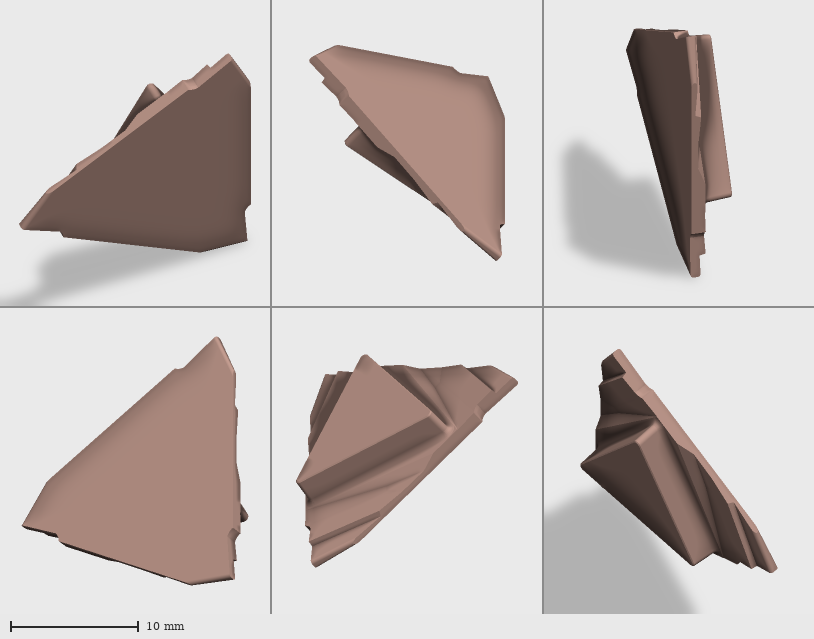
import cadquery as cq
import math

wing_count = 3
wing_angle = 360 / wing_count
side_tilt = math.radians(wing_angle / 2)

side_distance = 7.11
plate_height = 1.12
slab_height = 1.5
notch_start = (side_distance, -6.17)
notch_middle = (6.75, -6.5)
notch_end = (6.6, -6.81)
tip_heel = (6.83, -10.38)
tip_toe_y = 3.14
tip_toe_z = -(side_distance + tip_toe_y * math.cos(side_tilt)) / math.sin(side_tilt)
tip_round = 0.25
tip_reach = 0.17

boss_height = 3.5
boss_inradius = 3.98
boss_taper = 2.5
boss_corner_radius = 0.39
boss_chamfer = 0.09
boss_foot_radius = 0.43

overhang = 0.25
near_y = side_distance + overhang
slope_near_z = -4.3
slope_far_z = -5.35
valley_near_z = -4.5
valley_bend_z = -5.67
valley_far_z = -6.1
valley_floor_height = 0.54
crease_z = -6.25
crease_far_z = -7.41
ridge_z = -8.4
step_foot_z = ridge_z - 0.1
outer_z = -11.17
valley_bend_y = -0.24
along_slope = 0.074
ridge_height = 1.31
crease_height = 1.18
lip_height = 0.82
lip_rise = 0.025


def far_y(z):
    """y of the far straight side, pushed out by the facet overhang."""
    return -(side_distance + overhang + z * math.sin(side_tilt)) / math.cos(side_tilt)


def sloped(y, z, near_height):
    """Point on a line that falls evenly from its height at the near end."""
    return (y, z, near_height - along_slope * (near_y - y))


def between(z, start_z, end_z, start_height, end_height):
    """Height at z on a straight rise between two known heights."""
    return start_height + (end_height - start_height) * (z - start_z) / (end_z - start_z)


def turned(point, index):
    """Turn a (y, z) point about the axis to the given wing."""
    angle = math.radians(index * wing_angle)
    y, z = point
    return (y * math.cos(angle) - z * math.sin(angle), y * math.sin(angle) + z * math.cos(angle))


def on_each_wing(shape):
    return [shape.rotate((0, 0, 0), (1, 0, 0), index * wing_angle) for index in range(wing_count)]


def plate_outline():
    outline = cq.Workplane("YZ").moveTo(*notch_start)
    for index in range(wing_count):
        if index > 0:
            outline = outline.lineTo(*turned(notch_start, -index))
        outline = outline.threePointArc(turned(notch_middle, -index), turned(notch_end, -index))
        outline = outline.lineTo(*turned(tip_heel, -index)).lineTo(*turned((tip_toe_y, tip_toe_z), -index))
    return outline.close()


def make_boss():
    circumradius = 2 * boss_inradius
    corners = [turned((0, circumradius), index) for index in range(wing_count)]
    boss = (
        cq.Workplane("YZ", origin=(-plate_height, 0, 0)).polyline(corners).close()
        .extrude(-(boss_height - plate_height), taper=boss_taper)
    )
    boss = boss.edges("not(#X)").fillet(boss_corner_radius)
    return boss.faces("<X").edges().chamfer(boss_chamfer)


def facet_cutter(a, b, c):
    """Solid that removes everything above the triangle a, b, c."""
    top = -2 * boss_height
    floor = [cq.Vector(-height, y, z) for y, z, height in (a, b, c)]
    lid = [cq.Vector(top, y, z) for y, z, height in (a, b, c)]
    loops = [floor, lid]
    for i in range(3):
        j = (i + 1) % 3
        loops.append([floor[i], floor[j], lid[j], lid[i]])
    faces = [cq.Face.makeFromWires(cq.Wire.makePolygon(loop, close=True)) for loop in loops]
    return cq.Solid.makeSolid(cq.Shell.makeShell(faces))


def wing_facets():
    """Triangles covering the valley, inner face, outer face, step and lip of one wing."""
    inner_height = between(valley_bend_z, valley_near_z, crease_z, plate_height, crease_height)
    outer_face_height = between(crease_far_z, crease_z, ridge_z, crease_height, ridge_height)
    slope_near = (near_y, slope_near_z, plate_height)
    slope_far = (far_y(slope_far_z), slope_far_z, plate_height)
    valley_near = (near_y, valley_near_z, plate_height)
    valley_bend = sloped(valley_bend_y, valley_bend_z, inner_height)
    valley_far = (far_y(valley_far_z), valley_far_z, valley_floor_height)
    crease_near = sloped(near_y, crease_z, crease_height)
    crease_bend = sloped(valley_bend_y, crease_z, crease_height)
    crease_far = sloped(far_y(crease_far_z), crease_far_z, outer_face_height)
    ridge_near = sloped(near_y, ridge_z, ridge_height)
    ridge_far = sloped(far_y(ridge_z), ridge_z, ridge_height)
    foot_near = sloped(near_y, step_foot_z, lip_height)
    foot_far = sloped(far_y(step_foot_z), step_foot_z, lip_height)
    outer_height = lip_height + lip_rise * (step_foot_z - outer_z)
    outer_near = sloped(near_y, outer_z, outer_height)
    outer_far = sloped(far_y(step_foot_z), outer_z, outer_height)
    strips = [
        (slope_near, valley_near, valley_bend, valley_far, slope_far),
        (crease_bend, valley_bend, valley_near, crease_near),
        (crease_bend, crease_far, valley_far, valley_bend),
        (crease_bend, crease_near, ridge_near, ridge_far, crease_far),
        (ridge_near, foot_near, foot_far, ridge_far),
        (foot_near, outer_near, outer_far, foot_far),
    ]
    return [(s[0], s[i], s[i + 1]) for s in strips for i in range(1, len(s) - 1)]


def make_blank():
    plate = plate_outline().extrude(-plate_height).union(make_boss())
    plate_front = plate.faces(cq.selectors.NearestToPointSelector((-plate_height, 0, 0))).val()
    foot_edges = plate_front.innerWires()[0].Edges()
    plate = plate.newObject(foot_edges).fillet(boss_foot_radius)
    wing_area = (
        cq.Workplane("YZ")
        .polyline([(near_y, valley_near_z), (near_y, outer_z),
                   (far_y(valley_far_z), outer_z), (far_y(valley_far_z), valley_far_z)])
        .close().extrude(-slab_height).val()
    )
    stock = plate_outline().extrude(-slab_height)
    for area in on_each_wing(wing_area):
        plate = plate.union(stock.intersect(cq.Workplane(area)))
    return plate


def round_tips(body):
    """Round the front and back edges of each wing tip."""
    middle = ((tip_heel[0] + tip_toe_y) / 2, (tip_heel[1] + tip_toe_z) / 2)
    for index in range(wing_count):
        y, z = turned(middle, index)
        tip_edges = cq.selectors.BoxSelector(
            (-boss_height, y - tip_reach, z - tip_reach), (tip_reach, y + tip_reach, z + tip_reach))
        body = body.edges(tip_edges).fillet(tip_round)
    return body


body = make_blank()
for triangle in wing_facets():
    for cutter in on_each_wing(facet_cutter(*triangle)):
        body = body.cut(cq.Workplane(cutter))
result = round_tips(body)